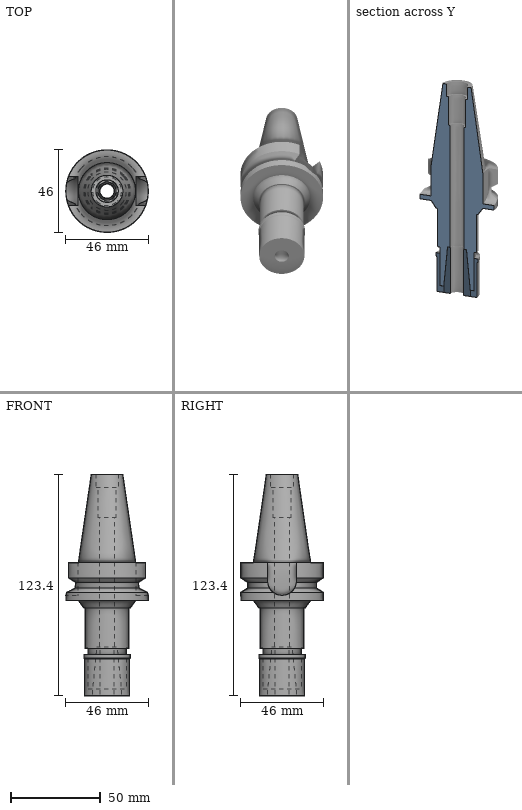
import cadquery as cq

total_height = 123.4
flange_top = 74.3
taper_base = 75.0
upper_rim_bottom = 65.8
groove_top = 63.2
groove_bottom = 60.0
lower_rim_top = 57.6
flange_bottom = 53.1
cone_bottom = 49.0
body_bottom = 26.4
nut_top = 23.1
nut_collar_bottom = 21.0
nut_cylinder_top = 20.6

flange_radius = 23.01
groove_radius = 19.3
taper_large_radius = 15.9
taper_small_radius = 8.82
cone_small_radius = 13.0
body_radius = 12.2
neck_radius = 10.7
nut_collar_radius = 13.0
nut_radius = 12.6

mouth_radius = 6.3
mouth_depth = 7.3
thread_radius = 5.0
thread_depth = 24.1
passage_radius = 4.2

slot_width = 16.0
slot_floor = 16.2
slot_bottom = 56.0
cut_margin = 1.2

nose_height = 3.7
collet_height = 27.1
collet_large_radius = 8.0
collet_small_radius = 5.7
collet_bore_radius = 4.0


def revolve_profile(points):
    """Revolve a closed (radius, height) outline around the Z axis."""
    return cq.Workplane("XZ").polyline(points).close().revolve(360, (0, 0, 0), (0, 1, 0))


def cylinder(radius, bottom, top):
    return cq.Workplane("XY").workplane(offset=bottom).circle(radius).extrude(top - bottom)


def make_collet_envelope():
    """Solid cone, wide at the nut face, that the collet fills."""
    return revolve_profile([
        (0, 0),
        (collet_large_radius, 0),
        (collet_large_radius, nose_height),
        (collet_small_radius, collet_height),
        (0, collet_height),
    ])


def make_drive_slot(side):
    """Cutter for one drive slot; side is +1 or -1 along X."""
    slot_radius = slot_width / 2
    arc_center = slot_bottom + slot_radius
    return (
        cq.Workplane("YZ", origin=(side * slot_floor, 0, 0))
        .moveTo(-slot_radius, flange_top)
        .lineTo(-slot_radius, arc_center)
        .threePointArc((0, slot_bottom), (slot_radius, arc_center))
        .lineTo(slot_radius, flange_top)
        .close()
        .extrude(side * (flange_radius - slot_floor + cut_margin))
    )


def make_holder():
    holder = revolve_profile([
        (0, nose_height),
        (neck_radius, nose_height),
        (neck_radius, body_bottom),
        (body_radius, body_bottom),
        (body_radius, cone_bottom),
        (cone_small_radius, cone_bottom),
        (taper_large_radius, flange_bottom),
        (flange_radius, flange_bottom),
        (flange_radius, lower_rim_top),
        (groove_radius, groove_bottom),
        (groove_radius, groove_top),
        (flange_radius, upper_rim_bottom),
        (flange_radius, flange_top),
        (taper_large_radius, flange_top),
        (taper_large_radius, taper_base),
        (taper_small_radius, total_height),
        (0, total_height),
    ])
    for side in (1, -1):
        holder = holder.cut(make_drive_slot(side))
    holder = holder.cut(cylinder(mouth_radius, total_height - mouth_depth, total_height))
    holder = holder.cut(cylinder(thread_radius, total_height - thread_depth, total_height))
    holder = holder.cut(cylinder(passage_radius, nose_height, total_height))
    return holder.cut(make_collet_envelope())


def make_nut():
    """Clamping nut that encloses the holder neck and the collet face."""
    nut = revolve_profile([
        (0, 0),
        (nut_radius, 0),
        (nut_radius, nut_cylinder_top),
        (nut_collar_radius, nut_collar_bottom),
        (nut_collar_radius, nut_top),
        (0, nut_top),
    ])
    nut = nut.cut(cylinder(neck_radius, nose_height, nut_top))
    return nut.cut(make_collet_envelope())


def make_collet():
    return make_collet_envelope().cut(cylinder(collet_bore_radius, 0, collet_height))


holder = make_holder()
nut = make_nut()
collet = make_collet()

result = cq.Compound.makeCompound([holder.val(), nut.val(), collet.val()])